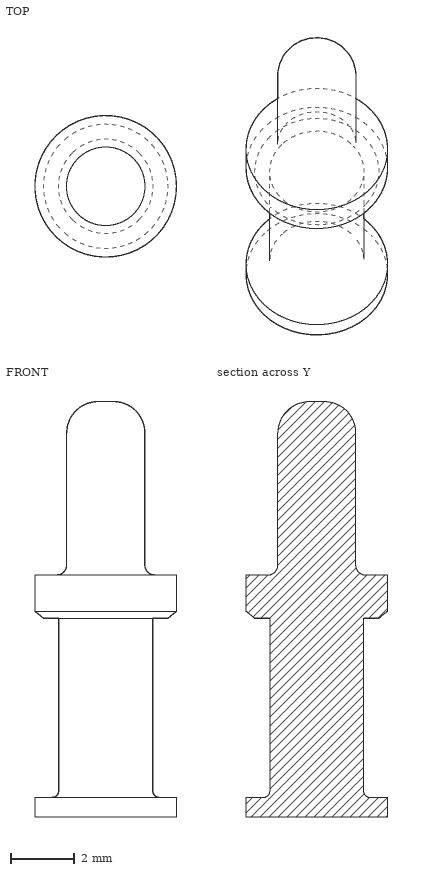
import cadquery as cq

total_height = 13.2
flange_diameter = 4.5

base_thickness = 0.63
shank_diameter = 3.0
base_fillet = 0.2

collar_bottom = 6.31
collar_top = 7.7
collar_chamfer_height = 0.22
collar_chamfer_width = 0.28

tip_diameter = 2.5
tip_fillet = 0.3
nose_radius = 1.0


def cylinder(diameter, bottom, top):
    """Upright cylinder on the Z axis between two heights."""
    return cq.Workplane("XY").workplane(offset=bottom).circle(diameter / 2).extrude(top - bottom)


def root_fillet(diameter, radius, seat):
    """Concave fillet ring where a cylinder rises from a flat seat."""
    inner = diameter / 2
    profile = (
        cq.Workplane("XZ")
        .moveTo(0, seat)
        .lineTo(inner + radius, seat)
        .radiusArc((inner, seat + radius), radius)
        .lineTo(0, seat + radius)
        .close()
    )
    return profile.revolve(360, (0, 0, 0), (0, 1, 0))


base = cylinder(flange_diameter, 0, base_thickness)
shank = cylinder(shank_diameter, base_thickness, collar_bottom)
collar = (
    cylinder(flange_diameter, collar_bottom, collar_top)
    .faces("<Z")
    .chamfer(collar_chamfer_height, collar_chamfer_width)
)
tip = cylinder(tip_diameter, collar_top, total_height).faces(">Z").edges().fillet(nose_radius)

result = (
    base.union(shank)
    .union(collar)
    .union(tip)
    .union(root_fillet(shank_diameter, base_fillet, base_thickness))
    .union(root_fillet(tip_diameter, tip_fillet, collar_top))
)